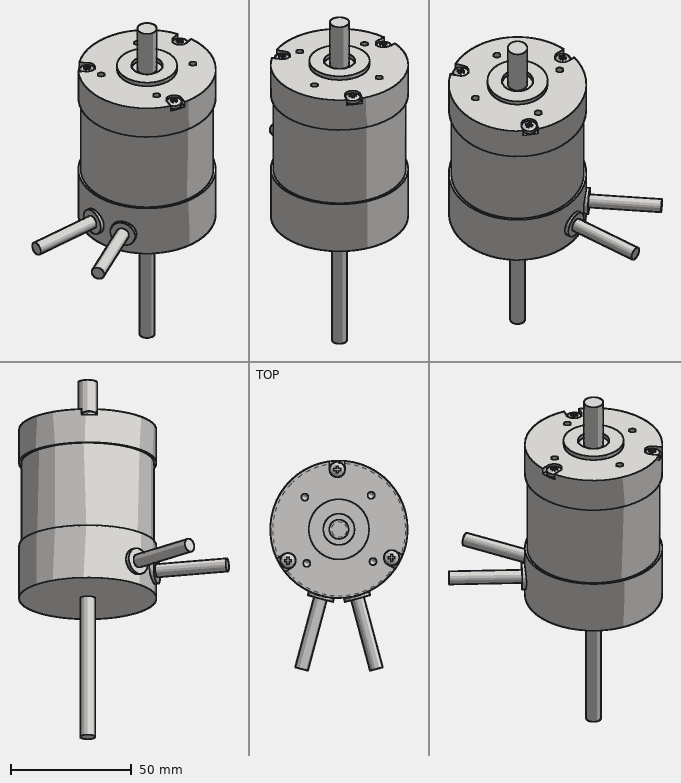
import cadquery as cq
import math


cover_diameter = 57.0
can_diameter = 55.0
rear_cover_height = 22.8
can_height = 36.1
front_cover_height = 14.5

boss_diameter = 25.0
boss_height = 1.9
bore_diameter = 13.0
bore_depth = 1.9

overall_length = 154.2
output_diameter = 8.0
output_length = 18.7
tail_diameter = 6.3

pattern_turn = 1.6

mounting_hole_count = 4
mounting_hole_diameter = 3.0
mounting_hole_depth = 7.7
mounting_circle_radius = 19.5
drill_tip_angle = 118.0

screw_count = 3
screw_circle_radius = 24.8
screw_head_diameter = 6.3
screw_rim_height = 1.4
screw_dome_height = 1.1
slot_depth = 2.5
slot_width = 6.5
cross_length = 2.8
cross_width = 1.0
cross_depth = 1.7

cable_diameter = 5.5
cable_end_radius = 60.0
cable_spread = 15.0
cable_height = 9.5
collar_diameter = 11.0
collar_end_radius = 29.8

can_base = rear_cover_height
front_cover_base = can_base + can_height
front_face = front_cover_base + front_cover_height
boss_face = front_face + boss_height
shaft_top = boss_face + output_length
shaft_bottom = shaft_top - overall_length
slot_floor = front_face - slot_depth


def cylinder(diameter, bottom, top):
    """Cylinder on the motor axis between two levels."""
    return cq.Workplane("XY").workplane(offset=bottom).circle(diameter / 2).extrude(top - bottom)


def polar_point(radius, angle):
    """X and Y of a point given by its radius and its angle in degrees."""
    return radius * math.cos(math.radians(angle)), radius * math.sin(math.radians(angle))


def make_shaft():
    tail = cylinder(tail_diameter, shaft_bottom, can_base)
    output = cylinder(output_diameter, can_base, shaft_top)
    return tail.union(output)


def make_rear_cover():
    cover = cylinder(cover_diameter, 0, can_base)
    return cover.cut(cylinder(tail_diameter, 0, can_base))


def make_can():
    can = cylinder(can_diameter, can_base, front_cover_base)
    return can.cut(cylinder(output_diameter, can_base, front_cover_base))


def make_mounting_hole(angle):
    """Blind hole with a drill-tip bottom, as a cutting tool."""
    radius = mounting_hole_diameter / 2
    tip_height = radius / math.tan(math.radians(drill_tip_angle / 2))
    profile = [
        (0, 0),
        (radius, 0),
        (radius, -mounting_hole_depth),
        (0, -mounting_hole_depth - tip_height),
    ]
    hole = cq.Workplane("XZ").polyline(profile).close().revolve(360, (0, 0), (0, 1))
    x, y = polar_point(mounting_circle_radius, angle)
    return hole.translate((x, y, front_face))


def make_screw_slot(angle):
    """Round-ended slot that opens through the rim of the cover, as a cutting tool."""
    plane = cq.Workplane("XY").workplane(offset=slot_floor)
    round_end = plane.center(screw_circle_radius, 0).circle(slot_width / 2).extrude(slot_depth)
    run_out = (
        plane.center(screw_circle_radius, 0)
        .rect(cover_diameter / 2, slot_width, centered=(False, True))
        .extrude(slot_depth)
    )
    return round_end.union(run_out).rotate((0, 0, 0), (0, 0, 1), angle)


def make_front_cover():
    cover = cylinder(cover_diameter, front_cover_base, front_face)
    cover = cover.union(cylinder(boss_diameter, front_face, boss_face))
    cover = cover.cut(cylinder(output_diameter, front_cover_base, boss_face))
    cover = cover.cut(cylinder(bore_diameter, boss_face - bore_depth, boss_face))
    for angle in mounting_angles:
        cover = cover.cut(make_mounting_hole(angle))
    for angle in screw_angles:
        cover = cover.cut(make_screw_slot(angle))
    return cover


def make_screw(angle):
    """Domed screw head with a cross recess, resting on the floor of its slot."""
    radius = screw_head_diameter / 2
    head_height = screw_rim_height + screw_dome_height
    sphere_radius = (radius**2 + screw_dome_height**2) / (2 * screw_dome_height)
    mid_radius = radius / 2
    mid_height = head_height - sphere_radius + math.sqrt(sphere_radius**2 - mid_radius**2)
    head = (
        cq.Workplane("XZ")
        .lineTo(radius, 0)
        .lineTo(radius, screw_rim_height)
        .threePointArc((mid_radius, mid_height), (0, head_height))
        .close()
        .revolve(360, (0, 0), (0, 1))
    )
    recess_plane = cq.Workplane("XY").workplane(offset=head_height)
    head = head.cut(recess_plane.rect(cross_length, cross_width).extrude(-cross_depth))
    head = head.cut(recess_plane.rect(cross_width, cross_length).extrude(-cross_depth))
    x, y = polar_point(screw_circle_radius, angle)
    return head.translate((x, y, slot_floor))


def make_cable(side):
    """Cable and collar as one body; side is -1 towards -X and 1 towards +X."""
    radial_plane = cq.Workplane("XZ", origin=(0, 0, cable_height))
    collar = radial_plane.circle(collar_diameter / 2).extrude(collar_end_radius)
    cable = radial_plane.circle(cable_diameter / 2).extrude(cable_end_radius)
    body = collar.union(cable).rotate((0, 0, 0), (0, 0, 1), side * cable_spread)
    return body.cut(cylinder(cover_diameter, 0, rear_cover_height))


mounting_angles = [45 + pattern_turn + i * 360 / mounting_hole_count for i in range(mounting_hole_count)]
screw_angles = [90 + pattern_turn + i * 360 / screw_count for i in range(screw_count)]

shaft = make_shaft()
rear_cover = make_rear_cover()
can = make_can()
front_cover = make_front_cover()
screws = [make_screw(angle) for angle in screw_angles]
cables = [make_cable(side) for side in (-1, 1)]

result = cq.Compound.makeCompound(
    [
        shaft.val(),
        rear_cover.val(),
        can.val(),
        front_cover.val(),
        *[screw.val() for screw in screws],
        *[cable.val() for cable in cables],
    ]
)